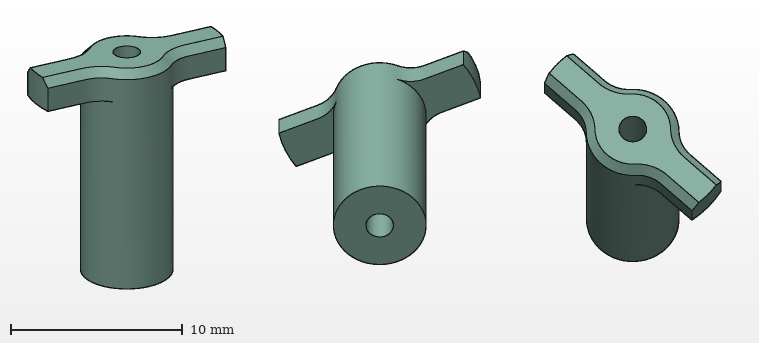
import cadquery as cq
import math

total_height = 14.0
shaft_diameter = 5.4
bore_diameter = 1.6
wing_span = 12.0
wing_width = 2.5
wing_height = 2.0
blend_radius = 2.0
top_chamfer = 0.5

shaft_radius = shaft_diameter / 2
half_width = wing_width / 2
head_base = total_height - wing_height
rough_half_span = wing_span / 2 + 2 * top_chamfer

blend_x = half_width + blend_radius
blend_center_distance = shaft_radius + blend_radius
blend_y = math.sqrt(blend_center_distance**2 - blend_x**2)
blend_angle = math.atan2(blend_y, blend_x)
shaft_tangent_x = shaft_radius * math.cos(blend_angle)
shaft_tangent_y = shaft_radius * math.sin(blend_angle)
blend_middle_angle = math.pi + blend_angle / 2
blend_middle_x = blend_x + blend_radius * math.cos(blend_middle_angle)
blend_middle_y = blend_y + blend_radius * math.sin(blend_middle_angle)


def make_shaft():
    return cq.Workplane("XY").circle(shaft_radius).extrude(head_base)


def make_winged_head():
    """Two opposite wings blended into a round hub, chamfered along the top."""
    head = (
        cq.Workplane("XY", origin=(0, 0, head_base))
        .moveTo(half_width, -rough_half_span)
        .lineTo(half_width, -blend_y)
        .threePointArc((blend_middle_x, -blend_middle_y), (shaft_tangent_x, -shaft_tangent_y))
        .threePointArc((shaft_radius, 0), (shaft_tangent_x, shaft_tangent_y))
        .threePointArc((blend_middle_x, blend_middle_y), (half_width, blend_y))
        .lineTo(half_width, rough_half_span)
        .lineTo(-half_width, rough_half_span)
        .lineTo(-half_width, blend_y)
        .threePointArc((-blend_middle_x, blend_middle_y), (-shaft_tangent_x, shaft_tangent_y))
        .threePointArc((-shaft_radius, 0), (-shaft_tangent_x, -shaft_tangent_y))
        .threePointArc((-blend_middle_x, -blend_middle_y), (-half_width, -blend_y))
        .lineTo(-half_width, -rough_half_span)
        .close()
        .extrude(wing_height)
        .faces(">Z")
        .edges()
        .chamfer(top_chamfer)
    )
    tip_envelope = cq.Workplane("XY").circle(wing_span / 2).extrude(total_height)
    return head.intersect(tip_envelope)


bore = cq.Workplane("XY").circle(bore_diameter / 2).extrude(total_height)
result = make_shaft().union(make_winged_head()).cut(bore)